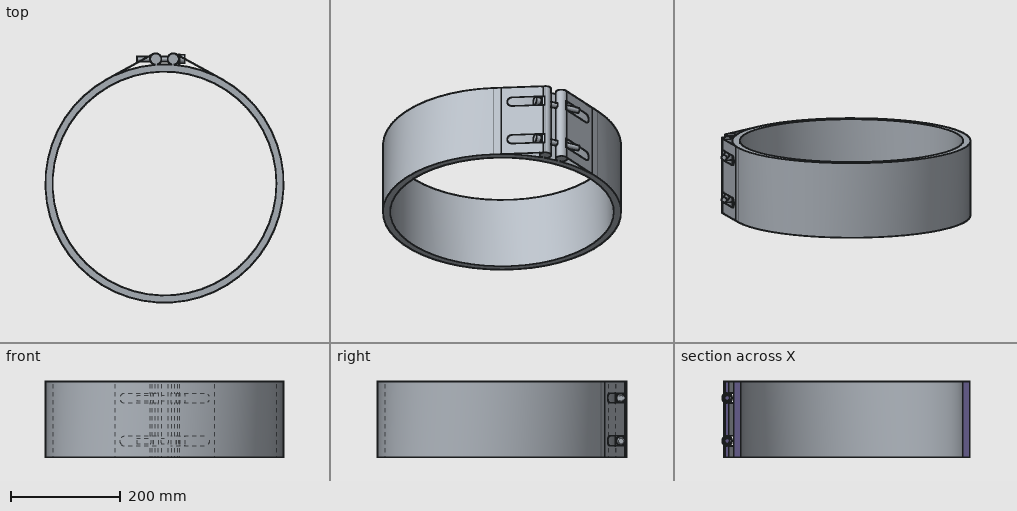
import cadquery as cq
import math

BORE_DIAMETER = 406.4
OUTER_DIAMETER = 433.4
WIDTH = 138.0
BAND_THICKNESS = 0.5

PIN_DIAMETER = 20.0
PIN_SPACING = 32.0
TOP_Y = 236.77

BOLT_SPACING = 78.0
BOLT_DIAMETER = 10.0
BOLT_TIP_X = -50.0
WASHER_DIAMETER = 18.0
WASHER_THICKNESS = 2.0
HEAD_DIAMETER = 16.0
HEAD_LENGTH = 9.0

SLOT_WIDTH = 18.0
SLOT_END_Y = 202.5

outer_radius = OUTER_DIAMETER / 2
pin_radius = PIN_DIAMETER / 2
wrap_radius = pin_radius + BAND_THICKNESS
pin_x = PIN_SPACING / 2
pin_y = TOP_Y - wrap_radius
bolt_heights = (-BOLT_SPACING / 2, BOLT_SPACING / 2)

pin_distance = math.hypot(pin_x, pin_y)
band_lean = math.atan2(pin_x, pin_y) + math.acos((outer_radius - wrap_radius) / pin_distance)
normal = cq.Vector(math.sin(band_lean), math.cos(band_lean), 0)
along = cq.Vector(math.cos(band_lean), -math.sin(band_lean), 0)
wrap_tangent = cq.Vector(pin_x, pin_y, 0) + normal * wrap_radius
ring_tangent = normal * outer_radius


def base_plane(x=0, y=0):
    """Horizontal workplane on the lower end face."""
    return cq.Workplane("XY", origin=(x, y, -WIDTH / 2))


def cylinder_along_x(diameter, start_x, length, height):
    plane = cq.Workplane("YZ", origin=(start_x, pin_y, height))
    return plane.circle(diameter / 2).extrude(length)


def make_ring():
    return base_plane().circle(outer_radius).circle(BORE_DIAMETER / 2).extrude(WIDTH)


def make_slot_cutter(height):
    """Slot from the wrapped pin along the straight band to a rounded end."""
    half_width = SLOT_WIDTH / 2
    slot_length = (wrap_tangent.y - SLOT_END_Y) / math.sin(band_lean)
    arc_start = slot_length - half_width
    plane = cq.Plane(
        origin=(wrap_tangent + cq.Vector(0, 0, height)).toTuple(),
        xDir=along.toTuple(),
        normal=normal.toTuple(),
    )
    return (
        cq.Workplane(plane)
        .moveTo(0, -half_width)
        .lineTo(arc_start, -half_width)
        .threePointArc((slot_length, 0), (arc_start, half_width))
        .lineTo(0, half_width)
        .close()
        .extrude(2 * wrap_radius, both=True)
    )


def make_band_end():
    """Band end on the +X side: wrap around the pin and flat stretch to the ring."""
    corners = [
        wrap_tangent,
        ring_tangent,
        ring_tangent - normal * BAND_THICKNESS,
        wrap_tangent - normal * BAND_THICKNESS,
    ]
    stretch = base_plane().polyline([(corner.x, corner.y) for corner in corners]).close().extrude(WIDTH)
    wrap = base_plane(pin_x, pin_y).circle(wrap_radius).circle(pin_radius).extrude(WIDTH)
    band = wrap.union(stretch)
    for height in bolt_heights:
        band = band.cut(make_slot_cutter(height))
    return band


def make_pin():
    return base_plane(pin_x, pin_y).circle(pin_radius).extrude(WIDTH)


def make_bolt(height):
    """Bolt through both pins, with its washer seated against the +X pin."""
    washer_x = pin_x + pin_radius
    head_x = washer_x + WASHER_THICKNESS
    shank = cylinder_along_x(BOLT_DIAMETER, BOLT_TIP_X, head_x - BOLT_TIP_X, height)
    washer = cylinder_along_x(WASHER_DIAMETER, washer_x, WASHER_THICKNESS, height)
    head = cylinder_along_x(HEAD_DIAMETER, head_x, HEAD_LENGTH, height)
    return shank.union(washer).union(head)


right_clamp = make_band_end().union(make_pin())
result = make_ring().union(right_clamp).union(right_clamp.mirror("YZ"))
for bolt_height in bolt_heights:
    result = result.union(make_bolt(bolt_height))